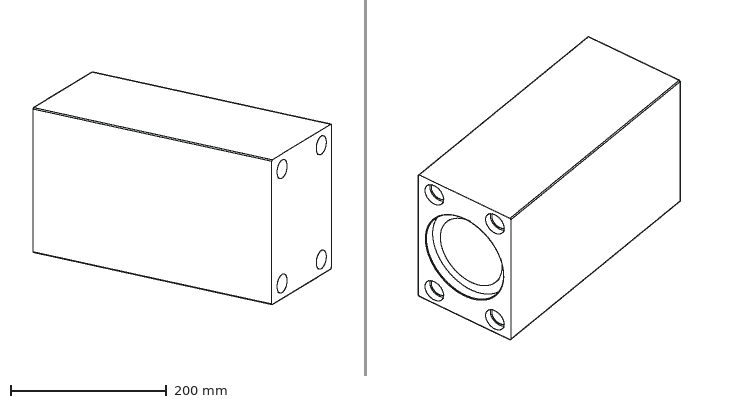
import cadquery as cq

LENGTH = 358.0
WIDTH = 150.0
HEIGHT = 200.0
EDGE_CHAMFER = 1.5

BORE_DIAMETER = 100.0
SIDE_WALL = (WIDTH - BORE_DIAMETER) / 2
END_WALL = SIDE_WALL
BORE_DEPTH = LENGTH - END_WALL
RECESS_DIAMETER = 125.0
RECESS_DEPTH = 14.0
RECESS_CHAMFER = 1.0

HOLE_DIAMETER = 25.0
COUNTERBORE_DIAMETER = 30.0
COUNTERBORE_DEPTH = 10.0
HOLE_SPACING_Y = 98.0
HOLE_SPACING_Z = 158.0

OPEN_FACE_X = -LENGTH / 2


def bore_from_open_face(diameter, depth, centers=((0, 0),)):
    """Cylinders running in +X from the -X face, at (Y, Z) centers."""
    face = cq.Workplane("YZ", origin=(OPEN_FACE_X, 0, 0))
    return face.pushPoints(centers).circle(diameter / 2).extrude(depth)


def make_block():
    """Rectangular block with its four long edges broken."""
    return cq.Workplane("XY").box(LENGTH, WIDTH, HEIGHT).edges("|X").chamfer(EDGE_CHAMFER)


def cut_main_bore(body):
    """Stepped blind bore with a chamfered mouth."""
    bore = bore_from_open_face(BORE_DIAMETER, BORE_DEPTH)
    recess = bore_from_open_face(RECESS_DIAMETER, RECESS_DEPTH)
    mouth = cq.Workplane(
        cq.Solid.makeCone(
            RECESS_DIAMETER / 2 + RECESS_CHAMFER,
            RECESS_DIAMETER / 2,
            RECESS_CHAMFER,
            pnt=cq.Vector(OPEN_FACE_X, 0, 0),
            dir=cq.Vector(1, 0, 0),
        )
    )
    return body.cut(bore).cut(recess).cut(mouth)


def cut_corner_holes(body):
    """Through holes, counterbored on the -X face."""
    y = HOLE_SPACING_Y / 2
    z = HOLE_SPACING_Z / 2
    centers = [(side_y * y, side_z * z) for side_y in (-1, 1) for side_z in (-1, 1)]
    holes = bore_from_open_face(HOLE_DIAMETER, LENGTH, centers)
    counterbores = bore_from_open_face(COUNTERBORE_DIAMETER, COUNTERBORE_DEPTH, centers)
    return body.cut(holes).cut(counterbores)


result = cut_corner_holes(cut_main_bore(make_block()))